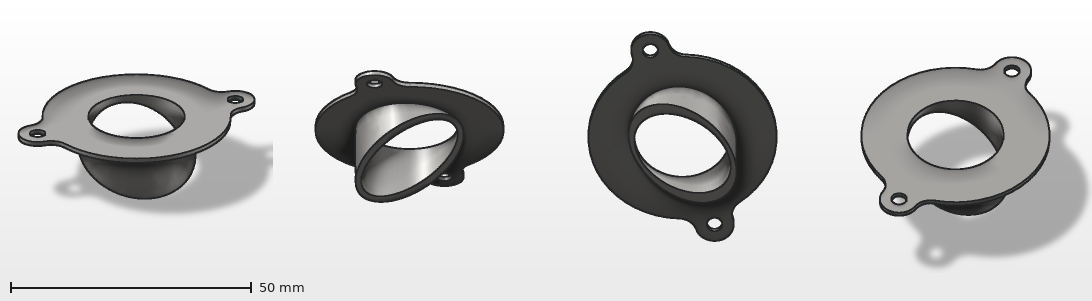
import cadquery as cq
import math

total_length = 52.0
disc_diameter = 39.15
plate_thickness = 1.0
lug_radius = 4.0
screw_hole_diameter = 3.2

bore_diameter = 20.0
spout_radius_x = 11.1
spout_radius_y = 12.5
total_height = 13.8

disc_radius = disc_diameter / 2
lug_offset = total_length / 2 - lug_radius
spout_depth = total_height - plate_thickness

neck_radius = (lug_radius**2 + lug_offset**2 - disc_radius**2) / (2 * (disc_radius - lug_radius))
neck_center_x = lug_radius + neck_radius
neck_center_angle = math.atan2(lug_offset, neck_center_x)
neck_end_x = disc_radius * math.cos(neck_center_angle)
neck_end_y = disc_radius * math.sin(neck_center_angle)
neck_mid_angle = math.pi + neck_center_angle / 2
neck_mid_x = neck_center_x + neck_radius * math.cos(neck_mid_angle)
neck_mid_y = lug_offset + neck_radius * math.sin(neck_mid_angle)


def make_plate():
    """Disc with two opposite lugs blended in by concave necks."""
    outline = (
        cq.Workplane("XY")
        .moveTo(neck_end_x, -neck_end_y)
        .threePointArc((disc_radius, 0), (neck_end_x, neck_end_y))
        .threePointArc((neck_mid_x, neck_mid_y), (lug_radius, lug_offset))
        .threePointArc((0, total_length / 2), (-lug_radius, lug_offset))
        .threePointArc((-neck_mid_x, neck_mid_y), (-neck_end_x, neck_end_y))
        .threePointArc((-disc_radius, 0), (-neck_end_x, -neck_end_y))
        .threePointArc((-neck_mid_x, -neck_mid_y), (-lug_radius, -lug_offset))
        .threePointArc((0, -total_length / 2), (lug_radius, -lug_offset))
        .threePointArc((neck_mid_x, -neck_mid_y), (neck_end_x, -neck_end_y))
        .close()
    )
    plate = outline.extrude(-plate_thickness)
    screw_holes = (
        cq.Workplane("XY")
        .pushPoints([(0, lug_offset), (0, -lug_offset)])
        .circle(screw_hole_diameter / 2)
        .extrude(-plate_thickness)
    )
    return plate.cut(screw_holes)


def make_spout():
    """Elliptical column kept above a slope from the plate at -X down to full depth at +X."""
    column = cq.Workplane("XY").ellipse(spout_radius_x, spout_radius_y).extrude(-total_height)
    wedge = (
        cq.Workplane("XZ")
        .moveTo(-spout_radius_x, 0)
        .lineTo(-spout_radius_x, -plate_thickness)
        .lineTo(spout_radius_x, -plate_thickness - spout_depth)
        .lineTo(spout_radius_x, 0)
        .close()
        .extrude(spout_radius_y, both=True)
    )
    return column.intersect(wedge)


bore = cq.Workplane("XY").circle(bore_diameter / 2).extrude(-total_height)
result = make_plate().union(make_spout()).cut(bore)